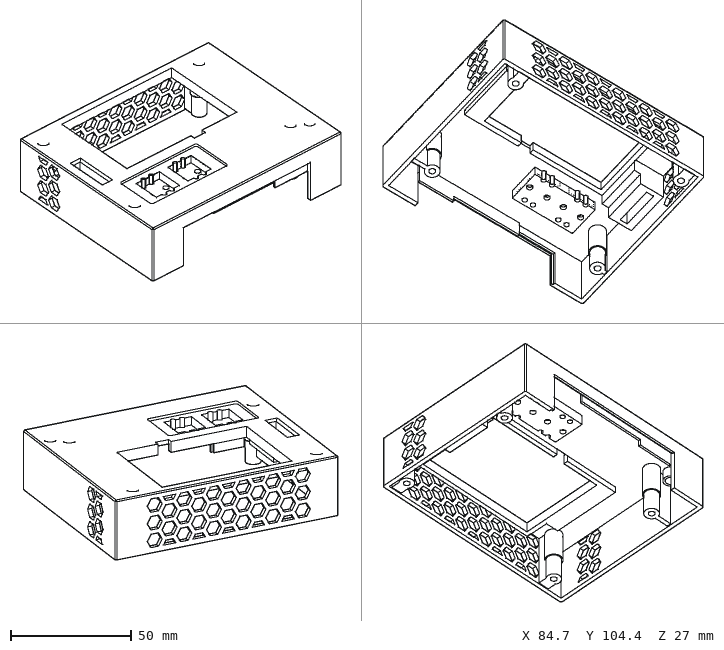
import cadquery as cq
import math

LENGTH_X = 84.7
LENGTH_Y = 104.4
HEIGHT = 27.0
WALL = 2.0
ROOF = 2.0
EDGE_CHAMFER = 0.6
ROOF_UNDERSIDE = HEIGHT - ROOF
INNER_X = LENGTH_X / 2 - WALL
INNER_Y = LENGTH_Y / 2 - WALL

WINDOW_X = (-38.35, 3.0)
WINDOW_Y = (-32.3, 28.3)
FRAME_WALL = 2.2
BACK_LEDGE_LEFT = -29.0
BACK_LEDGE_END = 37.0
FRAME_BOTTOM = 22.0
CABLE_NOTCH_Y = (3.0, 9.1)

POST_X = (-34.3, 23.7)
POST_Y = (-46.0, 40.0)
POST_UPPER_RADIUS = 3.8
POST_LOWER_RADIUS = 3.3
POST_STEP_Z = 11.0
POST_BOTTOM = 0.5
SIDE_RIB = 5.4
END_RIB = 2.0
SCREW_RADIUS = 1.4
SCREW_HEAD_RADIUS = 2.3
SCREW_RIM_RADIUS = 3.4
SCREW_SEAT_Z = 14.0

LIGHT_X = 28.1
LIGHT_Y = 46.7
LIGHT_RADIUS = 2.2
LIGHT_RIM_RADIUS = 3.2
LIGHT_SLEEVE_RADIUS = 3.2
LIGHT_SLEEVE_BOTTOM = 20.0

PANEL_X = (8.6, 28.8)
PANEL_Y = (-41.1, 1.1)
PANEL_DEPTH = 1.2
PANEL_CORNER = 1.0
SWITCH_X = 18.65
SWITCH_Y = (-11.4, -28.9)
SWITCH_SIZE = 12.8
SWITCH_FLOOR_Z = 22.0
SWITCH_BLOCK_THIN_WALL = 0.5
SWITCH_BLOCK_THICK_WALL = 2.5
SWITCH_BLOCK_BOTTOM = 20.1
SIDE_PIN_X = 6.6
SIDE_PIN_Y = 2.15
SIDE_PIN_RADIUS = 1.1
END_PIN_Y = 4.5
END_PIN_RADIUS = 1.3

SLOT_X = (-14.25, 4.05)
SLOT_Y = (-46.7, -43.1)
SLOT_CHAMFER = 1.0
SLOT_BLOCK_X = (-16.4, 5.9)
SLOT_BLOCK_END_Y = -38.4
SLOT_BLOCK_BOTTOM = 11.0
SLOT_LEDGE_END_Y = -35.1
SLOT_LEDGE_BOTTOM = 17.5

HEX_FLATS = 6.0
HEX_GAP = 2.0
HEX_PITCH = HEX_FLATS + HEX_GAP
HEX_COLUMN_PITCH = HEX_PITCH * math.cos(math.radians(30))
VENT_HEIGHT = 22.0
SIDE_VENT_COLUMNS = 11
SIDE_VENT_Y = -0.85
FRONT_VENT_FIRST_X = -20.4
FRONT_VENT_COLUMNS = 2

PORT_Y = (-35.3, 34.9)
PORT_TOP = 19.6
PORT_REBATE = 0.9
PORT_REBATE_DEPTH = 1.0
BAFFLE_STEP_Y = 17.0
BAFFLE_LOW_Z = 14.0
BAFFLE_HIGH_Z = 17.0
BAFFLE_THICKNESS = 1.0

OVERCUT = 1.0


def box(x_range, y_range, z_range):
    """Axis-aligned box given by its limits along each axis."""
    size = [limits[1] - limits[0] for limits in (x_range, y_range, z_range)]
    corner = (x_range[0], y_range[0], z_range[0])
    return cq.Workplane("XY").box(*size, centered=False).translate(corner)


def cylinder(x, y, radius, z_range):
    """Upright cylinder."""
    bottom, top = z_range
    return cq.Workplane("XY", origin=(x, y, bottom)).circle(radius).extrude(top - bottom)


def rounded_rim(x, y, bore_radius, rim_radius):
    """Cutter that rounds over the mouth of a bore in the roof's top face."""
    rounding = rim_radius - bore_radius
    bottom = HEIGHT - rounding
    arc_middle = (
        rim_radius - rounding * math.cos(math.radians(45)),
        bottom + rounding * math.sin(math.radians(45)),
    )
    profile = (
        cq.Workplane("XZ")
        .moveTo(0, HEIGHT)
        .lineTo(rim_radius, HEIGHT)
        .threePointArc(arc_middle, (bore_radius, bottom))
        .lineTo(0, bottom)
        .close()
    )
    return profile.revolve(360, (0, 0), (0, 1)).translate((x, y, 0))


def honeycomb(plane, depth, columns, first, three_cell_parity):
    """Honeycomb cutter trimmed to the vent height; columns of the given parity hold three whole cells."""
    middle = HEIGHT / 2
    centres = []
    for column in range(columns):
        across = first + column * HEX_COLUMN_PITCH
        if column % 2 == three_cell_parity:
            rows = (-1, 0, 1)
        else:
            rows = (-1.5, -0.5, 0.5, 1.5)
        centres += [(across, middle + row * HEX_PITCH) for row in rows]
    hex_diameter = HEX_FLATS / math.cos(math.radians(30))
    cells = cq.Workplane(plane).pushPoints(centres).polygon(6, hex_diameter).extrude(depth, both=True)
    half_height = VENT_HEIGHT / 2
    trim = box((-LENGTH_X, LENGTH_X), (-LENGTH_Y, LENGTH_Y), (middle - half_height, middle + half_height))
    return cells.intersect(trim)


def make_shell():
    half_x = LENGTH_X / 2
    half_y = LENGTH_Y / 2
    body = box((-half_x, half_x), (-half_y, half_y), (0, HEIGHT))
    body = body.edges("|Z or >Z").chamfer(EDGE_CHAMFER)
    cavity = box((-INNER_X, INNER_X), (-INNER_Y, INNER_Y), (0, ROOF_UNDERSIDE))
    return body.cut(cavity)


def add_window_frame(body):
    frame_z = (FRAME_BOTTOM, ROOF_UNDERSIDE)
    frame_right = WINDOW_X[1] + FRAME_WALL
    frame_front = WINDOW_Y[0] - FRAME_WALL
    frame_back = WINDOW_Y[1] + FRAME_WALL
    frame = box((-INNER_X, frame_right), (frame_front, frame_back), frame_z)
    ledge = box((BACK_LEDGE_LEFT, frame_right), (frame_back, BACK_LEDGE_END), frame_z)
    opening = box(WINDOW_X, WINDOW_Y, (0, HEIGHT))
    notch = box((WINDOW_X[1] - OVERCUT, frame_right), CABLE_NOTCH_Y, (0, HEIGHT))
    return body.union(frame).union(ledge).cut(opening).cut(notch)


def add_posts(body):
    rib_z = (POST_BOTTOM, ROOF_UNDERSIDE)
    for y in POST_Y:
        wall_y = math.copysign(INNER_Y, y)
        side_rib = box((-INNER_X, POST_X[0]), (y - SIDE_RIB / 2, y + SIDE_RIB / 2), rib_z)
        end_rib = box((POST_X[1] - END_RIB / 2, POST_X[1] + END_RIB / 2), sorted((y, wall_y)), rib_z)
        body = body.union(side_rib).union(end_rib)
        for x in POST_X:
            body = body.union(cylinder(x, y, POST_UPPER_RADIUS, (POST_STEP_Z, ROOF_UNDERSIDE)))
            body = body.union(cylinder(x, y, POST_LOWER_RADIUS, (POST_BOTTOM, POST_STEP_Z)))
    return body


def cut_screw_holes(body):
    for x in POST_X:
        for y in POST_Y:
            body = body.cut(cylinder(x, y, SCREW_RADIUS, (0, HEIGHT)))
            body = body.cut(cylinder(x, y, SCREW_HEAD_RADIUS, (SCREW_SEAT_Z, HEIGHT)))
            body = body.cut(rounded_rim(x, y, SCREW_HEAD_RADIUS, SCREW_RIM_RADIUS))
    return body


def add_light_hole(body):
    sleeve = cylinder(LIGHT_X, LIGHT_Y, LIGHT_SLEEVE_RADIUS, (LIGHT_SLEEVE_BOTTOM, ROOF_UNDERSIDE))
    body = body.union(sleeve)
    body = body.cut(cylinder(LIGHT_X, LIGHT_Y, LIGHT_RADIUS, (0, HEIGHT)))
    return body.cut(rounded_rim(LIGHT_X, LIGHT_Y, LIGHT_RADIUS, LIGHT_RIM_RADIUS))


def add_switch_panel(body):
    panel_z = HEIGHT - PANEL_DEPTH
    recess = box(PANEL_X, PANEL_Y, (panel_z, HEIGHT)).edges("|Z").fillet(PANEL_CORNER)
    body = body.cut(recess)
    half = SWITCH_SIZE / 2
    thin = half + SWITCH_BLOCK_THIN_WALL
    thick = half + SWITCH_BLOCK_THICK_WALL
    block = box(
        (SWITCH_X - thin, SWITCH_X + thick),
        (min(SWITCH_Y) - thin, max(SWITCH_Y) + thin),
        (SWITCH_BLOCK_BOTTOM, ROOF_UNDERSIDE),
    )
    body = body.union(block)
    for y in SWITCH_Y:
        pocket = box((SWITCH_X - half, SWITCH_X + half), (y - half, y + half), (SWITCH_FLOOR_Z, HEIGHT))
        body = body.cut(pocket)
        for end in (-1, 1):
            body = body.cut(cylinder(SWITCH_X, y + end * END_PIN_Y, END_PIN_RADIUS, (0, HEIGHT)))
            for side in (-1, 1):
                pin_x = SWITCH_X + side * SIDE_PIN_X
                pin_y = y + end * SIDE_PIN_Y
                body = body.cut(cylinder(pin_x, pin_y, SIDE_PIN_RADIUS, (0, HEIGHT)))
    return body


def add_slot(body):
    block = box(SLOT_BLOCK_X, (-INNER_Y, SLOT_BLOCK_END_Y), (SLOT_BLOCK_BOTTOM, ROOF_UNDERSIDE))
    ledge_y = (SLOT_BLOCK_END_Y, SLOT_LEDGE_END_Y)
    ledge = box(SLOT_BLOCK_X, ledge_y, (SLOT_LEDGE_BOTTOM, ROOF_UNDERSIDE))
    slot = box(SLOT_X, SLOT_Y, (0, HEIGHT))
    width = SLOT_X[1] - SLOT_X[0]
    depth = SLOT_Y[1] - SLOT_Y[0]
    flare = (
        cq.Workplane("XY", origin=(sum(SLOT_X) / 2, sum(SLOT_Y) / 2, HEIGHT))
        .rect(width + 2 * SLOT_CHAMFER, depth + 2 * SLOT_CHAMFER)
        .extrude(-SLOT_CHAMFER, taper=45)
    )
    return body.union(block).union(ledge).cut(slot).cut(flare)


def cut_port(body):
    top_rebate = PORT_TOP + PORT_REBATE
    rebate_y = (PORT_Y[0] - PORT_REBATE, PORT_Y[1])
    opening = box((INNER_X - OVERCUT, LENGTH_X / 2), PORT_Y, (0, PORT_TOP))
    rebate = box((INNER_X, INNER_X + PORT_REBATE_DEPTH), rebate_y, (0, top_rebate))
    return body.cut(opening).cut(rebate)


def add_baffle(body):
    x_range = (INNER_X - BAFFLE_THICKNESS, INNER_X)
    high = box(x_range, (-BAFFLE_STEP_Y, BAFFLE_STEP_Y), (BAFFLE_HIGH_Z, ROOF_UNDERSIDE))
    low = box(x_range, (BAFFLE_STEP_Y, PORT_Y[1]), (BAFFLE_LOW_Z, ROOF_UNDERSIDE))
    return body.union(high).union(low)


def cut_vents(body):
    side_first = SIDE_VENT_Y - HEX_COLUMN_PITCH * (SIDE_VENT_COLUMNS - 1) / 2
    side = honeycomb("YZ", WALL, SIDE_VENT_COLUMNS, side_first, 0)
    body = body.cut(side.translate((-LENGTH_X / 2, 0, 0)))
    front_first = FRONT_VENT_FIRST_X - HEX_COLUMN_PITCH
    front = honeycomb("XZ", WALL, FRONT_VENT_COLUMNS, front_first, 1)
    for wall_y in (-LENGTH_Y / 2, LENGTH_Y / 2):
        body = body.cut(front.translate((0, wall_y, 0)))
    return body


result = make_shell()
result = add_window_frame(result)
result = add_posts(result)
result = add_light_hole(result)
result = add_slot(result)
result = add_switch_panel(result)
result = cut_port(result)
result = add_baffle(result)
result = cut_screw_holes(result)
result = cut_vents(result)